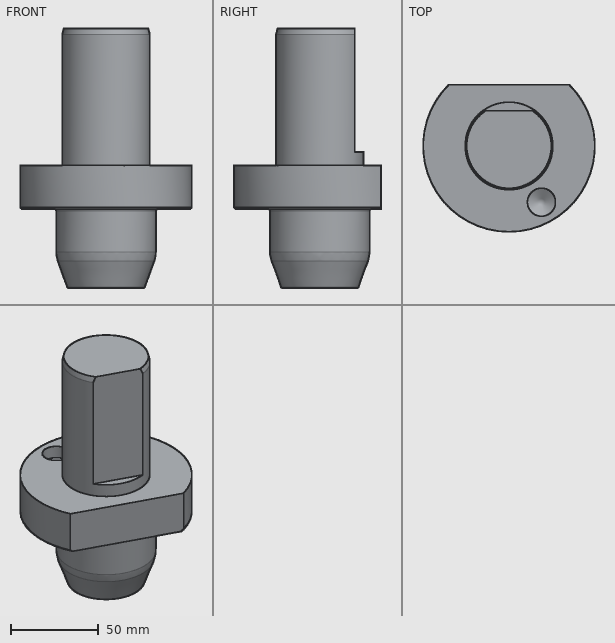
import cadquery as cq
import math

spigot_diameter = 57.0
spigot_length = 45.0
lead_in_angle = math.radians(20.0)
lead_in_blend_radius = 15.0
cone_top_height = 15.5
tip_fillet_radius = 1.0

flange_diameter = 98.0
flange_thickness = 25.0
flange_chamfer = 1.0
flange_flat_offset = 35.0
root_fillet_radius = 1.0

shank_diameter = 50.0
shank_length = 78.0
shank_flat_offset = 20.0
shank_flat_start = 7.7
shank_chamfer_height = 3.3
shank_chamfer_angle = math.radians(15.0)

hole_diameter = 16.0
hole_depth = 7.5
hole_pitch_radius = 37.0
hole_direction = math.radians(-60.0)
drill_point_angle = math.radians(120.0)

flange_top = spigot_length + flange_thickness
total_height = flange_top + shank_length


def make_spigot():
    """Cylinder that runs through a tangent arc into a lead-in cone, with filleted tip and root."""
    radius = spigot_diameter / 2
    arc_top = cone_top_height + lead_in_blend_radius * math.sin(lead_in_angle)
    half_angle = lead_in_angle / 2
    arc_middle = (
        radius - lead_in_blend_radius * (1 - math.cos(half_angle)),
        arc_top - lead_in_blend_radius * math.sin(half_angle),
    )
    cone_top_radius = radius - lead_in_blend_radius * (1 - math.cos(lead_in_angle))
    cone_base_height = tip_fillet_radius * (1 - math.sin(lead_in_angle))
    cone_base_radius = cone_top_radius - (cone_top_height - cone_base_height) * math.tan(lead_in_angle)
    tip_face_radius = cone_base_radius - tip_fillet_radius * math.cos(lead_in_angle)
    profile = (
        cq.Workplane("XZ")
        .lineTo(tip_face_radius, 0)
        .radiusArc((cone_base_radius, cone_base_height), -tip_fillet_radius)
        .lineTo(cone_top_radius, cone_top_height)
        .threePointArc(arc_middle, (radius, arc_top))
        .lineTo(radius, spigot_length - root_fillet_radius)
        .radiusArc((radius + root_fillet_radius, spigot_length), root_fillet_radius)
        .lineTo(0, spigot_length)
        .close()
    )
    return profile.revolve(360, (0, 0), (0, 1))


def flat_cutter(diameter, flat_offset, bottom, height):
    """Block that removes everything beyond a flat on the +Y side of a round."""
    return (
        cq.Workplane("XY", origin=(0, flat_offset, bottom))
        .rect(diameter, diameter)
        .extrude(height)
        .translate((0, diameter / 2, 0))
    )


def make_flange():
    """Disc with a chamfered lower rim, cut by the flat."""
    disc = (
        cq.Workplane("XY", origin=(0, 0, spigot_length))
        .circle(flange_diameter / 2)
        .extrude(flange_thickness)
        .faces("<Z")
        .chamfer(flange_chamfer)
    )
    return disc.cut(flat_cutter(flange_diameter, flange_flat_offset, spigot_length, flange_thickness))


def make_shank():
    """Round shank with a tapered top edge and a flat that stops above the flange."""
    radius = shank_diameter / 2
    top_radius = radius - shank_chamfer_height * math.tan(shank_chamfer_angle)
    shank = (
        cq.Workplane("XZ")
        .moveTo(0, flange_top)
        .lineTo(radius, flange_top)
        .lineTo(radius, total_height - shank_chamfer_height)
        .lineTo(top_radius, total_height)
        .lineTo(0, total_height)
        .close()
        .revolve(360, (0, 0), (0, 1))
    )
    flat_length = shank_length - shank_flat_start
    return shank.cut(
        flat_cutter(shank_diameter, shank_flat_offset, flange_top + shank_flat_start, flat_length)
    )


def make_hole_cutter():
    """Drill shape: a cylinder ending in a conical point."""
    radius = hole_diameter / 2
    point_depth = radius / math.tan(drill_point_angle / 2)
    drill = (
        cq.Workplane("XZ")
        .lineTo(radius, 0)
        .lineTo(radius, -hole_depth)
        .lineTo(0, -hole_depth - point_depth)
        .close()
        .revolve(360, (0, 0), (0, 1))
    )
    hole_x = hole_pitch_radius * math.cos(hole_direction)
    hole_y = hole_pitch_radius * math.sin(hole_direction)
    return drill.translate((hole_x, hole_y, flange_top))


result = make_spigot().union(make_flange()).union(make_shank()).cut(make_hole_cutter())